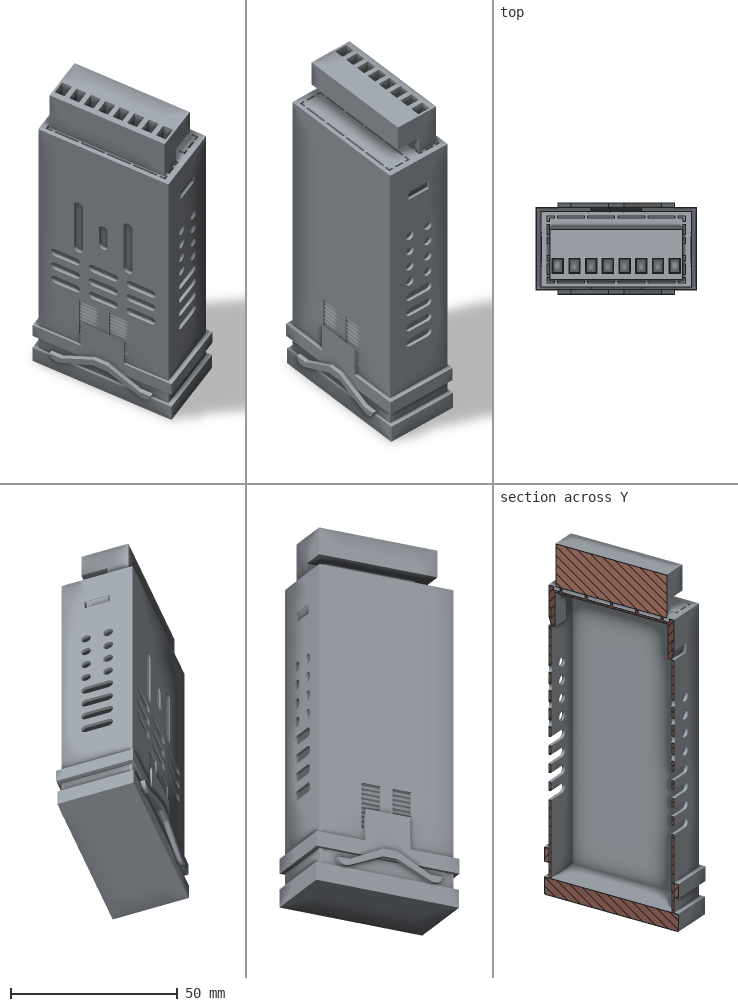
import cadquery as cq
import math

CASE_X = 45.0
CASE_Y = 22.7
SIDE_WALL = 1.0
BROAD_WALL = 2.0
BEZEL_X = 48.0
BEZEL_Y = 24.3
BEZEL_TOP = 5.9
HOUSING_TOP = 95.8
CAP_TOP = 103.2
CAP_PLATE = 2.0
TOTAL_HEIGHT = 117.5

SLOT_WIDTH = 3.0
SLOT_LENGTH = 10.1
LONG_SLOT_LENGTH = 22.0
LONG_SLOT_X = 8.6
UPRIGHT_SLOT_Z = 67.0
SLOT_DEPTH = 1.2
VENT_PITCH_X = 13.0
VENT_PITCH_Z = 6.0
VENT_LOWEST_Z = 33.4
FRONT_VENT_ROWS = range(1, 4)
SIDE_SLOT_ROWS = range(4)
SIDE_HOLE_ROWS = range(4, 8)
SIDE_HOLE_Y = 3.5

RATCHET_INNER_X = 2.0
RATCHET_OUTER_X = 8.3
RATCHET_BOTTOM = 19.7
RATCHET_TOP = 34.8
TOOTH_COUNT = 10
RATCHET_RECESS = 0.4
TOOTH_DEPTH = 0.6
TOOTH_LEDGE = 0.4

NOTCH_WIDTH = 1.9
NOTCH_X = 20.8
NOTCH_BOTTOM = 9.9
NOTCH_TOP = 12.9
NOTCH_DEPTH = 1.2

WINDOW_Y = 8.0
WINDOW_BOTTOM = 89.8
WINDOW_TOP = 92.7
HOOK_CLEARANCE = 0.5
HOOK_INSET = 0.1
TONGUE_THICKNESS = 1.4

PANEL_HALF_X = 20.7
PANEL_OUTER_Y = 10.05
PANEL_INNER_Y = 1.82
GROOVE_WIDTH = 0.65
GROOVE_DEPTH = 1.2
BRIDGE_WIDTH = 0.9
BRIDGE_PITCH_X = 9.0
BRIDGE_PITCH_Y = 4.0

TERMINAL_X = 39.8
TERMINAL_FRONT_Y = -9.0
TERMINAL_BACK_Y = 6.0
LEG_BACK_Y = -2.4
OVERHANG_Z = 108.8
LATCH_BACK_Y = 0.18
LATCH_BOTTOM = 103.6
LATCH_BEVEL_Y = 1.6
LATCH_BEVEL_Z = 1.0
LATCH_X = 30.5
WIRE_HOLE_COUNT = 8
WIRE_HOLE_SPAN = 35.0
WIRE_HOLE_X = 3.4
WIRE_HOLE_Y = 4.5
WIRE_HOLE_CENTRE_Y = -4.9
WIRE_HOLE_DEPTH = 5.9
WIRE_HOLE_INSET = 0.2

CLAMP_CENTRE_Y = 0.2
CLAMP_Y = 24.5
CLAMP_BOTTOM = 10.9
CLAMP_TOP = 15.7
TAB_X = 15.0
TAB_TOP = 26.1
TAB_BEVEL = 2.6
SPRING_OUTER_Y = 27.4
SPRING_CREST_X = 2.4
SPRING_CREST_TOP = 13.6
SPRING_CREST_BOTTOM = 11.0
SPRING_KNEE_X = 13.5
SPRING_FOOT_INNER_X = 14.2
SPRING_END_X = 17.5
SPRING_FOOT_TOP = 8.1


def box(x_range, y_range, z_range):
    """Block between two corners, each axis given as (low, high)."""
    lows, highs = zip(x_range, y_range, z_range)
    sizes = [high - low for low, high in zip(lows, highs)]
    return cq.Workplane("XY").box(*sizes, centered=False).translate(lows)


def centred_box(x_size, y_size, bottom, top):
    return box((-x_size / 2, x_size / 2), (-y_size / 2, y_size / 2), (bottom, top))


def case_cavity(bottom, top):
    return centred_box(CASE_X - 2 * SIDE_WALL, CASE_Y - 2 * BROAD_WALL, bottom, top)


def both_faces(shape, plane):
    """The shape together with its mirror image in a middle plane of the case."""
    return shape.union(shape.mirror(plane))


def yz_prism(points, x_low, x_high):
    """Extrude a (Y, Z) outline along X."""
    return cq.Workplane("YZ").polyline(points).close().extrude(x_high - x_low).translate((x_low, 0, 0))


def front_slot(x, z, length, angle):
    """Blind slot cutter in the -Y face; angle 0 lies along X, 90 along Z."""
    return (
        cq.Workplane("XZ", origin=(x, -CASE_Y / 2, z))
        .slot2D(length, SLOT_WIDTH, angle)
        .extrude(-SLOT_DEPTH)
    )


def row_height(row):
    return VENT_LOWEST_Z + row * VENT_PITCH_Z


def cut_front_slots(body):
    for row in FRONT_VENT_ROWS:
        for column in (-1, 0, 1):
            body = body.cut(front_slot(column * VENT_PITCH_X, row_height(row), SLOT_LENGTH, 0))
    for x, length in ((-LONG_SLOT_X, LONG_SLOT_LENGTH), (0, SLOT_LENGTH), (LONG_SLOT_X, LONG_SLOT_LENGTH)):
        body = body.cut(front_slot(x, UPRIGHT_SLOT_Z, length, 90))
    return body


def cut_side_vents(body):
    """Slots and pairs of round holes that pass through both narrow walls."""
    sketch = cq.Workplane("YZ", origin=(-CASE_X / 2, 0, 0))
    slot_centres = [(0, row_height(row)) for row in SIDE_SLOT_ROWS]
    hole_centres = [(side * SIDE_HOLE_Y, row_height(row)) for row in SIDE_HOLE_ROWS for side in (-1, 1)]
    slots = sketch.pushPoints(slot_centres).slot2D(SLOT_LENGTH, SLOT_WIDTH).extrude(CASE_X)
    holes = sketch.pushPoints(hole_centres).circle(SLOT_WIDTH / 2).extrude(CASE_X)
    return body.cut(slots).cut(holes)


def ratchet_cutter():
    """Recess in the -Y face with a sawtooth floor: ramps slope inward going up to a short ledge."""
    face = -CASE_Y / 2
    crest = face + RATCHET_RECESS
    pitch = (RATCHET_TOP - RATCHET_BOTTOM) / TOOTH_COUNT
    outline = [(face, RATCHET_TOP), (face, RATCHET_BOTTOM), (crest, RATCHET_BOTTOM)]
    for tooth in range(1, TOOTH_COUNT + 1):
        tooth_top = RATCHET_BOTTOM + tooth * pitch
        outline += [(crest + TOOTH_DEPTH, tooth_top - TOOTH_LEDGE), (crest, tooth_top)]
    return yz_prism(outline, RATCHET_INNER_X, RATCHET_OUTER_X)


def notch_cutter():
    face = -CASE_Y / 2
    outline = [(face, NOTCH_BOTTOM), (face + NOTCH_DEPTH, NOTCH_TOP), (face, NOTCH_TOP)]
    return yz_prism(outline, NOTCH_X - NOTCH_WIDTH / 2, NOTCH_X + NOTCH_WIDTH / 2)


def make_housing():
    body = centred_box(CASE_X, CASE_Y, BEZEL_TOP, HOUSING_TOP)
    body = body.cut(case_cavity(BEZEL_TOP, HOUSING_TOP))
    body = cut_side_vents(cut_front_slots(body))
    body = body.cut(centred_box(CASE_X, WINDOW_Y, WINDOW_BOTTOM, WINDOW_TOP))
    for cutter in (ratchet_cutter(), notch_cutter()):
        for side in (cutter, cutter.mirror("YZ")):
            body = body.cut(side).cut(side.mirror("XZ"))
    return body


def make_bezel():
    return centred_box(BEZEL_X, BEZEL_Y, 0, BEZEL_TOP)


def knock_out_groove():
    """Rectangular groove around the +Y panel, interrupted by narrow bridges."""
    x, low, high = PANEL_HALF_X, PANEL_INNER_Y, PANEL_OUTER_Y
    w = GROOVE_WIDTH
    depth = (CAP_TOP - GROOVE_DEPTH, CAP_TOP)
    groove = box((-x, x), (low, high), depth).cut(box((w - x, x - w), (low + w, high - w), depth))
    half = BRIDGE_WIDTH / 2
    for i in range(-2, 3):
        bridge_x = i * BRIDGE_PITCH_X
        groove = groove.cut(box((bridge_x - half, bridge_x + half), (low, high), depth))
    for side in (-1, 1):
        bridge_y = (low + high + side * BRIDGE_PITCH_Y) / 2
        groove = groove.cut(box((-x, x), (bridge_y - half, bridge_y + half), depth))
    return groove


def snap_tongue():
    """Tongue on the +X side that reaches down inside the housing and hooks into its window."""
    inner_face = CASE_X / 2 - SIDE_WALL
    nose = CASE_X / 2 - HOOK_INSET
    root = inner_face - TONGUE_THICKNESS
    width = WINDOW_Y - 2 * HOOK_CLEARANCE
    return (
        cq.Workplane("XZ")
        .moveTo(root, WINDOW_BOTTOM)
        .lineTo(inner_face, WINDOW_BOTTOM)
        .lineTo(nose, WINDOW_TOP)
        .lineTo(inner_face, WINDOW_TOP)
        .lineTo(inner_face, CAP_TOP - CAP_PLATE)
        .lineTo(root, CAP_TOP - CAP_PLATE)
        .close()
        .extrude(width / 2, both=True)
    )


def make_cap():
    body = centred_box(CASE_X, CASE_Y, HOUSING_TOP, CAP_TOP)
    body = body.cut(case_cavity(HOUSING_TOP, CAP_TOP - CAP_PLATE))
    body = body.union(both_faces(snap_tongue(), "YZ"))
    groove = knock_out_groove()
    return body.cut(groove).cut(groove.mirror("XZ"))


def make_terminal_block():
    half_x = TERMINAL_X / 2
    outline = [
        (TERMINAL_FRONT_Y, CAP_TOP),
        (LEG_BACK_Y, CAP_TOP),
        (LEG_BACK_Y, OVERHANG_Z),
        (TERMINAL_BACK_Y, OVERHANG_Z),
        (TERMINAL_BACK_Y, TOTAL_HEIGHT),
        (TERMINAL_FRONT_Y, TOTAL_HEIGHT),
    ]
    latch_outline = [
        (LEG_BACK_Y, OVERHANG_Z),
        (LEG_BACK_Y, LATCH_BOTTOM),
        (LATCH_BACK_Y - LATCH_BEVEL_Y, LATCH_BOTTOM),
        (LATCH_BACK_Y, LATCH_BOTTOM + LATCH_BEVEL_Z),
        (LATCH_BACK_Y, OVERHANG_Z),
    ]
    body = yz_prism(outline, -half_x, half_x).union(yz_prism(latch_outline, -LATCH_X / 2, LATCH_X / 2))
    pitch = WIRE_HOLE_SPAN / (WIRE_HOLE_COUNT - 1)
    taper = math.degrees(math.atan(WIRE_HOLE_INSET / WIRE_HOLE_DEPTH))
    wire_holes = (
        cq.Workplane("XY", origin=(0, WIRE_HOLE_CENTRE_Y, TOTAL_HEIGHT))
        .rarray(pitch, 1.2, WIRE_HOLE_COUNT, 1)
        .rect(WIRE_HOLE_X, WIRE_HOLE_Y)
        .extrude(-WIRE_HOLE_DEPTH, taper=taper)
    )
    return body.cut(wire_holes)


def clamp_tab():
    """Tab above the ring on the -Y side, its top bevelled down towards the housing.

    It is as thick as the wider gap between clamp and case; the case opening trims it on the narrower side.
    """
    outer = -CLAMP_Y / 2
    inner = CLAMP_CENTRE_Y - CASE_Y / 2
    outline = [(outer, CLAMP_BOTTOM), (inner, CLAMP_BOTTOM), (inner, TAB_TOP - TAB_BEVEL), (outer, TAB_TOP)]
    return yz_prism(outline, -TAB_X / 2, TAB_X / 2)


def clamp_spring():
    """Bow spring standing on the -Y face of the clamp, its rounded feet resting at bezel height."""
    foot_radius = SPRING_FOOT_TOP - BEZEL_TOP
    foot_x = SPRING_END_X - foot_radius
    arc_reach = foot_radius * math.sqrt(0.5)
    arc_z = SPRING_FOOT_TOP - arc_reach
    return (
        cq.Workplane("XZ", origin=(0, -CLAMP_Y / 2, 0))
        .moveTo(-SPRING_CREST_X, SPRING_CREST_TOP)
        .lineTo(SPRING_CREST_X, SPRING_CREST_TOP)
        .lineTo(SPRING_KNEE_X, SPRING_FOOT_TOP)
        .lineTo(SPRING_END_X, SPRING_FOOT_TOP)
        .threePointArc((foot_x + arc_reach, arc_z), (foot_x, BEZEL_TOP))
        .lineTo(SPRING_FOOT_INNER_X, BEZEL_TOP)
        .lineTo(SPRING_CREST_X, SPRING_CREST_BOTTOM)
        .lineTo(-SPRING_CREST_X, SPRING_CREST_BOTTOM)
        .lineTo(-SPRING_FOOT_INNER_X, BEZEL_TOP)
        .lineTo(-foot_x, BEZEL_TOP)
        .threePointArc((-foot_x - arc_reach, arc_z), (-SPRING_END_X, SPRING_FOOT_TOP))
        .lineTo(-SPRING_KNEE_X, SPRING_FOOT_TOP)
        .close()
        .extrude((SPRING_OUTER_Y - CLAMP_Y) / 2)
    )


def make_clamp():
    body = centred_box(BEZEL_X, CLAMP_Y, CLAMP_BOTTOM, CLAMP_TOP)
    for feature in (clamp_tab(), clamp_spring()):
        body = body.union(both_faces(feature, "XZ"))
    case_opening = centred_box(CASE_X, CASE_Y, BEZEL_TOP, HOUSING_TOP)
    return body.translate((0, CLAMP_CENTRE_Y, 0)).cut(case_opening)


housing = make_housing()
bezel = make_bezel()
cap = make_cap()
terminal_block = make_terminal_block()
clamp = make_clamp()

result = cq.Compound.makeCompound([
    housing.solids().val(),
    bezel.solids().val(),
    cap.solids().val(),
    terminal_block.solids().val(),
    clamp.solids().val(),
])